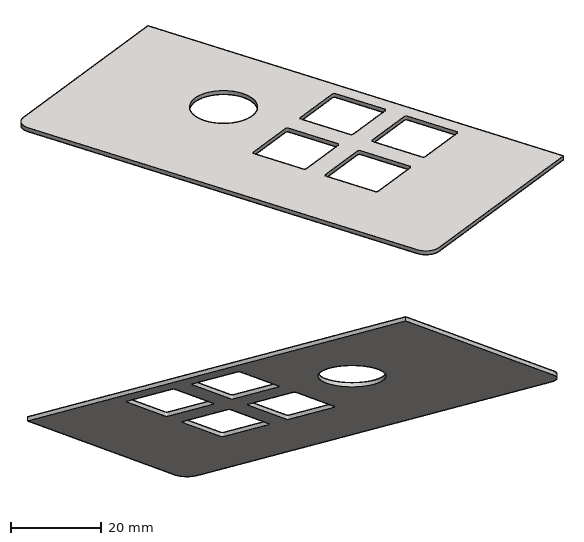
import cadquery as cq

length = 110
width = 54.0
thickness = 1.0
corner_radius = 3.5

round_diameter = 15.1
round_x = -20.5
round_y = 4.7

key_size = 14.0
key_corner_radius = 0.5
key_pitch = 19.0
key_group_x = 13.0
key_group_y = 6.9


def make_plate():
    """Flat plate, centred on the origin, with its two front corners rounded."""
    plate = cq.Workplane("XY").box(length, width, thickness)
    return plate.edges("|Z and <Y").fillet(corner_radius)


def make_round_cutter():
    return cq.Workplane("XY").center(round_x, round_y).circle(round_diameter / 2).extrude(thickness, both=True)


def make_key_cutter():
    """Four square through-openings with slightly rounded corners."""
    cutter = (
        cq.Workplane("XY")
        .center(key_group_x, key_group_y)
        .rarray(key_pitch, key_pitch, 2, 2)
        .rect(key_size, key_size)
        .extrude(thickness, both=True)
    )
    return cutter.edges("|Z").fillet(key_corner_radius)


result = make_plate().cut(make_round_cutter()).cut(make_key_cutter())